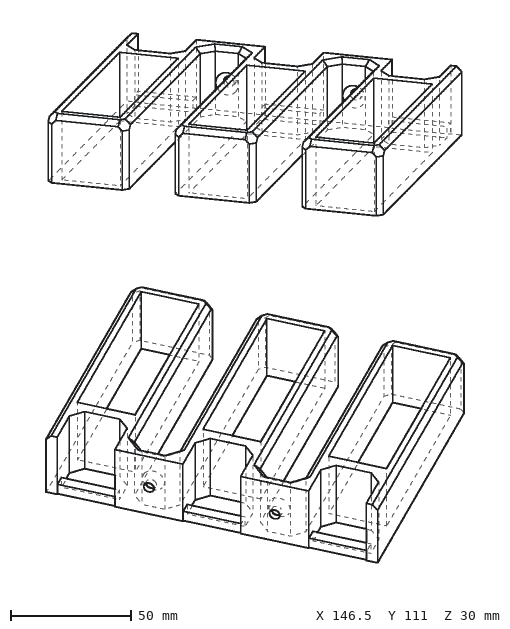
import cadquery as cq

width = 146.5
length = 111.0
height = 30.0

arm_count = 3
channel_width = 20.0
arm_width = (width - (arm_count - 1) * channel_width) / arm_count
pitch = arm_width + channel_width
wall = 5.0
back_wall = 5.4
front_wall = 5.4
edge_chamfer = 2.3
tip_corner_leg = 6.5
corner_cut = 5.0

inner_width = arm_width - 2 * wall
bay_depth = 20.4
pocket_back = -(bay_depth + wall)
pocket_front = front_wall - length

tie_inset = 0.5
tie_depth = 5.0
tie_height = 5.0

screw_diameter = 4.5
sink_diameter = 9.7
screw_height = 13.9

arm_centers = [(i - (arm_count - 1) / 2) * pitch for i in range(arm_count)]
channel_centers = [x + pitch / 2 for x in arm_centers[:-1]]


def box(x_center, opening_width, y_front, y_back, tall):
    """Box standing on Z = 0 between two Y positions."""
    depth = y_back - y_front
    return (
        cq.Workplane("XY")
        .center(x_center, (y_front + y_back) / 2)
        .rect(opening_width, depth)
        .extrude(tall)
    )


def channel(x_center):
    """Slot open at the front with two bevelled corners at the back."""
    slot = box(x_center, channel_width, -length, -back_wall, height)
    return slot.edges("|Z and >Y").chamfer(corner_cut)


def bay(x_center):
    """Opening at the back of an arm with two bevelled front corners."""
    opening = box(x_center, inner_width, -bay_depth, 0, height)
    return opening.edges("|Z and <Y").chamfer(corner_cut)


def tie_bar(x_center):
    """Bar along the bottom that joins both sides of a bay."""
    bar_back = -tie_inset
    return box(x_center, inner_width + wall, bar_back - tie_depth, bar_back, tie_height)


def screw_hole(x_center):
    """Through hole along Y with a 90 degree countersink facing the channel."""
    sink_depth = (sink_diameter - screw_diameter) / 2
    center = cq.Vector(x_center, -back_wall, screw_height)
    toward_back = cq.Vector(0, 1, 0)
    bore = cq.Solid.makeCylinder(screw_diameter / 2, back_wall, center, toward_back)
    sink = cq.Solid.makeCone(
        sink_diameter / 2, screw_diameter / 2, sink_depth, center, toward_back
    )
    return cq.Workplane(bore.fuse(sink))


def tip_corner(x_center, side):
    """Tetrahedron at a top corner of an arm tip; side is -1 for left, 1 for right."""
    corner = cq.Vector(x_center + side * arm_width / 2, -length, height)
    inward = corner - cq.Vector(side * tip_corner_leg, 0, 0)
    backward = corner + cq.Vector(0, tip_corner_leg, 0)
    below = corner - cq.Vector(0, 0, tip_corner_leg)
    triangles = [
        (corner, inward, backward),
        (corner, backward, below),
        (corner, below, inward),
        (inward, below, backward),
    ]
    faces = [cq.Face.makeFromWires(cq.Wire.makePolygon(t, close=True)) for t in triangles]
    return cq.Workplane(cq.Solid.makeSolid(cq.Shell.makeShell(faces)))


body = box(0, width, -length, 0, height)
for x in channel_centers:
    body = body.cut(channel(x))
tip_edges = body.edges("|Z and <Y")
rim_edges = body.faces(">Z").edges("not(>Y)")
body = tip_edges.add(rim_edges).chamfer(edge_chamfer)

for x in arm_centers:
    for side in (-1, 1):
        body = body.cut(tip_corner(x, side))

for x in arm_centers:
    body = body.cut(bay(x))
    body = body.cut(box(x, inner_width, pocket_front, pocket_back, height))
    body = body.union(tie_bar(x))
for x in channel_centers:
    body = body.cut(screw_hole(x))

result = body.translate((0, length / 2, 0))